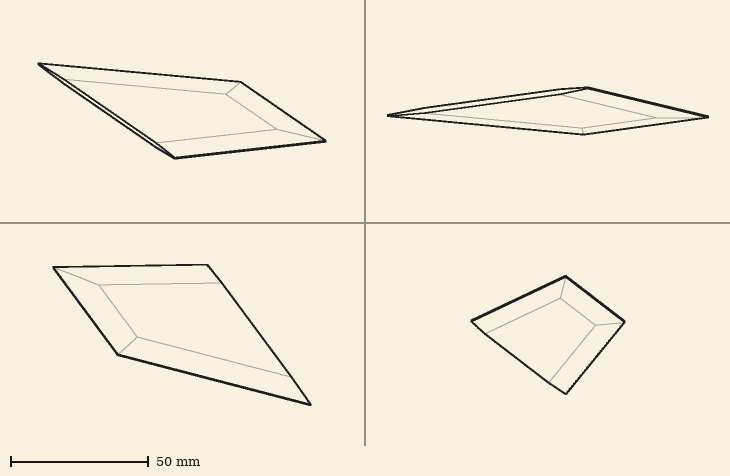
import cadquery as cq
import math

span = 50.0
root_chord = 80.0
tip_chord = 49.9
tip_trailing_x = 105.2
tip_leading_x = tip_trailing_x - tip_chord

thickness = 2.0
edge_thickness = 0.5
bevel_width = 10.0


def edge_x(root_x, tip_x, y):
    """X of a swept edge at a given distance from the root."""
    return root_x + (tip_x - root_x) * y / span


def chordwise_width(root_x, tip_x):
    """Bevel width of a swept edge, measured along X."""
    edge_length = math.hypot(tip_x - root_x, span)
    return bevel_width * edge_length / span


flat_span = span - bevel_width
leading_inset = chordwise_width(0, tip_leading_x)
trailing_inset = chordwise_width(root_chord, tip_trailing_x)
outer_outline = [
    (0, 0),
    (root_chord, 0),
    (tip_trailing_x, span),
    (tip_leading_x, span),
]
flat_outline = [
    (leading_inset, 0),
    (root_chord - trailing_inset, 0),
    (edge_x(root_chord, tip_trailing_x, flat_span) - trailing_inset, flat_span),
    (edge_x(0, tip_leading_x, flat_span) + leading_inset, flat_span),
]

core = cq.Workplane("XY").polyline(outer_outline).close().extrude(edge_thickness / 2, both=True)

upper_layer = (
    cq.Workplane("XY")
    .workplane(offset=edge_thickness / 2)
    .polyline(outer_outline)
    .close()
    .workplane(offset=(thickness - edge_thickness) / 2)
    .polyline(flat_outline)
    .close()
    .loft(ruled=True)
)
lower_layer = upper_layer.mirror("XY")

result = core.union(upper_layer).union(lower_layer).clean()